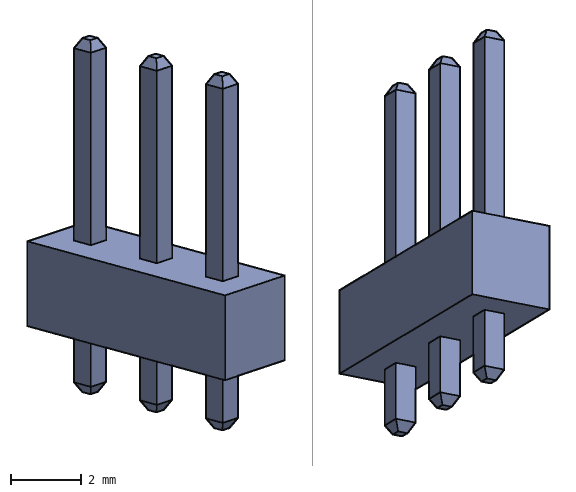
import cadquery as cq

pitch = 2.54
pin_count = 3
pin_width = 0.65
upper_pin_length = 6.06
lower_pin_length = 2.0
tip_height = 0.3
tip_inset = 0.17
tip_width = pin_width - 2 * tip_inset

housing_length = pin_count * pitch
housing_width = pitch
housing_height = pitch


def make_housing():
    """Plain block that carries the row of pins."""
    return cq.Workplane("XY").box(
        housing_length, housing_width, housing_height, centered=(True, True, False)
    )


def make_pin(length):
    """Square pin standing on Z = 0, with a tapered square tip at its top."""
    shank_height = length - tip_height
    shank = cq.Workplane("XY").rect(pin_width, pin_width).extrude(shank_height)
    tip = (
        cq.Workplane("XY", origin=(0, 0, shank_height))
        .rect(pin_width, pin_width)
        .workplane(offset=tip_height)
        .rect(tip_width, tip_width)
        .loft(ruled=True)
    )
    return shank.union(tip)


def make_upper_pin(x):
    """Long pin standing on the top face of the housing."""
    return make_pin(upper_pin_length).translate((x, 0, housing_height))


def make_lower_pin(x):
    """Short pin hanging from the bottom face of the housing."""
    return make_pin(lower_pin_length).rotate((0, 0, 0), (1, 0, 0), 180).translate((x, 0, 0))


first_pin_x = -(pin_count - 1) * pitch / 2
pin_positions = [first_pin_x + index * pitch for index in range(pin_count)]

housing = make_housing()
upper_pins = [make_upper_pin(x) for x in pin_positions]
lower_pins = [make_lower_pin(x) for x in pin_positions]

result = cq.Compound.makeCompound(
    [housing.val()] + [pin.val() for pin in upper_pins + lower_pins]
)